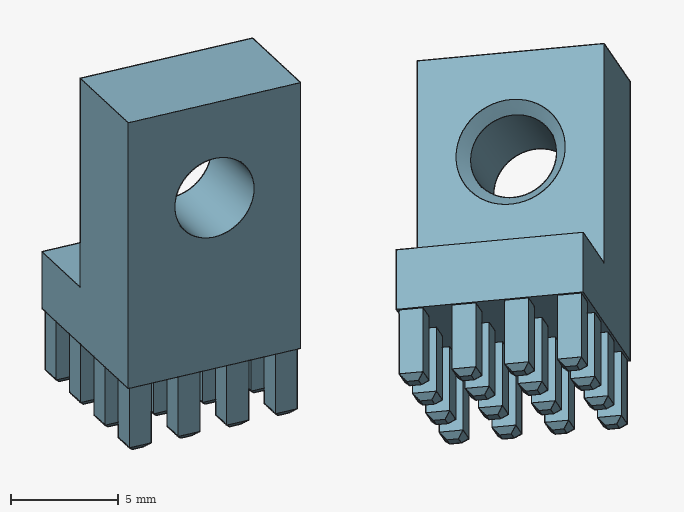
import cadquery as cq

side = 9.0
total_height = 17.5

pin_count = 4
pin_length = 3.5
pin_width = 1.15
pin_pitch = 2.54
tip_chamfer = 0.3

step_height = 3.0
upright_thickness = 5.0

hole_diameter = 4.13
countersink_diameter = 5.25
countersink_depth = (countersink_diameter - hole_diameter) / 2
hole_drop = 5.0

body_bottom = pin_length
step_top = body_bottom + step_height
upright_face = side / 2 - upright_thickness


def make_body():
    """L-shaped profile in XZ, extruded symmetrically along Y."""
    return (
        cq.Workplane("XZ")
        .moveTo(-side / 2, body_bottom)
        .lineTo(side / 2, body_bottom)
        .lineTo(side / 2, total_height)
        .lineTo(upright_face, total_height)
        .lineTo(upright_face, step_top)
        .lineTo(-side / 2, step_top)
        .close()
        .extrude(side / 2, both=True)
    )


def make_hole():
    """Through-hole along X with a conical countersink on the -X face."""
    face = cq.Workplane("YZ", origin=(upright_face, 0, total_height - hole_drop))
    bore = face.circle(hole_diameter / 2).extrude(upright_thickness)
    countersink = (
        face.circle(countersink_diameter / 2)
        .workplane(offset=countersink_depth)
        .circle(hole_diameter / 2)
        .loft(ruled=True)
    )
    return bore.union(countersink)


def make_pins():
    """Full square grid of pins, each with its lower edges chamfered."""
    return (
        cq.Workplane("XY")
        .rarray(pin_pitch, pin_pitch, pin_count, pin_count)
        .rect(pin_width, pin_width)
        .extrude(pin_length)
        .faces("<Z")
        .chamfer(tip_chamfer)
    )


result = make_body().cut(make_hole()).union(make_pins())